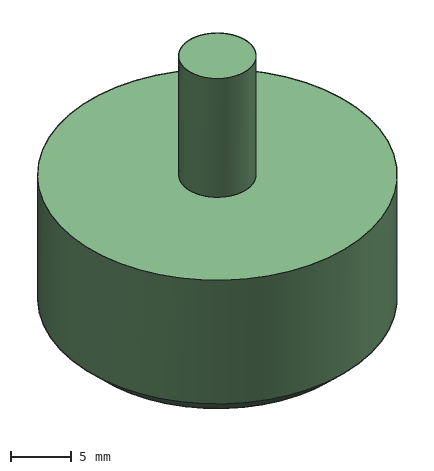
import cadquery as cq

body_diameter = 29.65
stem_diameter = 6.4
total_height = 30.4
stem_length = 12.1
chamfer_size = 1.75
cone_height = 3.95

body_radius = body_diameter / 2
stem_radius = stem_diameter / 2
cone_radius = body_radius - chamfer_size

chamfer_top = cone_height + chamfer_size
shoulder = total_height - stem_length


def turned_profile():
    """Half section of the part in the XZ plane, closed along the Z axis."""
    return (
        cq.Workplane("XZ")
        .moveTo(0, 0)
        .lineTo(cone_radius, cone_height)
        .lineTo(body_radius, chamfer_top)
        .lineTo(body_radius, shoulder)
        .lineTo(stem_radius, shoulder)
        .lineTo(stem_radius, total_height)
        .lineTo(0, total_height)
        .close()
    )


result = turned_profile().revolve(360, (0, 0, 0), (0, 1, 0))